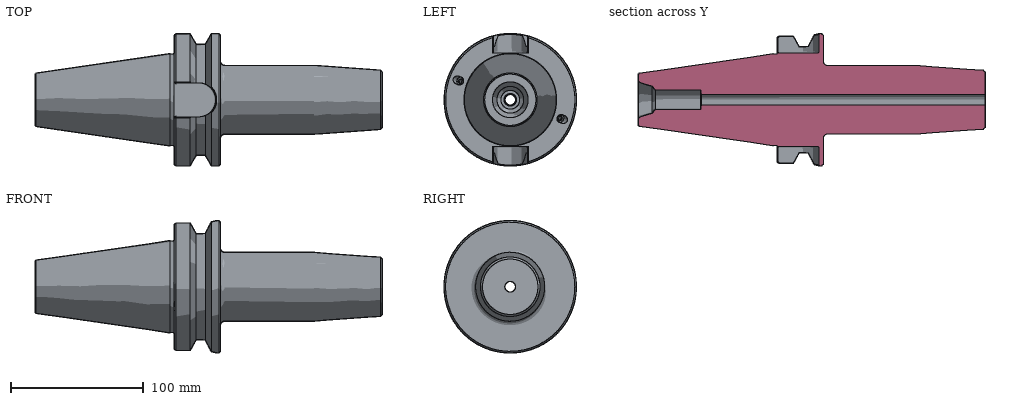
import cadquery as cq
import math

total_length = 261.8
gauge_x = 101.8
flange_start_x = 104.7
flange_end_x = 139.8
nose_start_x = 210.5
groove_middle_x = 125.0

gauge_diameter = 70.0
taper_ratio = 7 / 24
neck_diameter = 69.5
flange_diameter = 100.0
groove_root_diameter = 84.0
shank_diameter = 52.0
nose_half_angle = 4.0
taper_end_chamfer = 0.8
neck_fillet = 0.5
flange_chamfer = 1.3
shank_fillet = 3.1
nose_chamfer = 1.5
groove_root_width = 6.8
groove_wall_angle = 30.0

mouth_diameter = 27.0
mouth_depth = 2.4
entry_diameter = 25.1
shoulder_x = 10.5
shoulder_diameter = 20.2
shoulder_width = 0.5
seat_end_x = 13.0
pilot_diameter = 14.1
pilot_end_x = 47.0
coolant_diameter = 7.9
coolant_chamfer = 0.8

slot_width = 25.7
slot_floor_z = 35.3
slot_end_x = 136.1
slot_edge_chamfer = 0.8
slot_floor_fillet = 0.8
tolerance = 0.03

screw_count = 2
screw_pitch_radius = 42.0
screw_first_angle = 20.4
screw_tilt = 37.0
screw_diameter = 6.3
screw_length = 6.3
screw_recess = 2.5
socket_sides = 6
socket_width = 3.1
socket_depth = 1.5


def turned_outline():
    """Solid of revolution of the whole holder, without bore or slots."""
    taper_end_radius = (gauge_diameter - gauge_x * taper_ratio) / 2
    neck_radius = neck_diameter / 2
    flange_radius = flange_diameter / 2
    root_radius = groove_root_diameter / 2
    shank_radius = shank_diameter / 2
    nose_radius = shank_radius - (total_length - nose_start_x) * math.tan(math.radians(nose_half_angle))
    root_half = groove_root_width / 2
    rim_half = root_half + (flange_radius - root_radius) * math.tan(math.radians(groove_wall_angle))
    outline = (
        cq.Workplane("XY")
        .moveTo(0, 0)
        .lineTo(0, taper_end_radius - taper_end_chamfer)
        .lineTo(taper_end_chamfer, taper_end_radius + taper_end_chamfer * taper_ratio / 2)
        .lineTo(gauge_x, gauge_diameter / 2)
        .lineTo(gauge_x, neck_radius)
        .lineTo(flange_start_x - neck_fillet, neck_radius)
        .radiusArc((flange_start_x, neck_radius + neck_fillet), -neck_fillet)
        .lineTo(flange_start_x, flange_radius - flange_chamfer)
        .lineTo(flange_start_x + flange_chamfer, flange_radius)
        .lineTo(groove_middle_x - rim_half, flange_radius)
        .lineTo(groove_middle_x - root_half, root_radius)
        .lineTo(groove_middle_x + root_half, root_radius)
        .lineTo(groove_middle_x + rim_half, flange_radius)
        .lineTo(flange_end_x - flange_chamfer, flange_radius)
        .lineTo(flange_end_x, flange_radius - flange_chamfer)
        .lineTo(flange_end_x, shank_radius + shank_fillet)
        .radiusArc((flange_end_x + shank_fillet, shank_radius), -shank_fillet)
        .lineTo(nose_start_x, shank_radius)
        .lineTo(total_length - nose_chamfer, nose_radius)
        .lineTo(total_length, nose_radius - nose_chamfer)
        .lineTo(total_length, 0)
        .close()
    )
    return outline.revolve(360, (0, 0, 0), (1, 0, 0))


def stepped_bore():
    """Cutter for the conical entry, pilot bore and through coolant bore."""
    shoulder_radius = shoulder_diameter / 2
    pilot_radius = pilot_diameter / 2
    coolant_radius = coolant_diameter / 2
    outline = (
        cq.Workplane("XY")
        .moveTo(0, 0)
        .lineTo(0, mouth_diameter / 2)
        .lineTo(mouth_depth, entry_diameter / 2)
        .lineTo(shoulder_x, shoulder_radius)
        .lineTo(shoulder_x + shoulder_width, shoulder_radius - shoulder_width)
        .lineTo(seat_end_x, pilot_radius)
        .lineTo(pilot_end_x, pilot_radius)
        .lineTo(pilot_end_x, coolant_radius + coolant_chamfer)
        .lineTo(pilot_end_x + coolant_chamfer, coolant_radius)
        .lineTo(total_length, coolant_radius)
        .lineTo(total_length, 0)
        .close()
    )
    return outline.revolve(360, (0, 0, 0), (1, 0, 0))


def drive_slot(side):
    """Cutter for one round-ended slot, side = +1 for +Z and -1 for -Z."""
    half_width = slot_width / 2
    arc_x = slot_end_x - half_width
    depth = flange_diameter / 2
    return (
        cq.Workplane("XY", origin=(0, 0, side * slot_floor_z))
        .moveTo(gauge_x, -half_width)
        .lineTo(arc_x, -half_width)
        .threePointArc((slot_end_x, 0), (arc_x, half_width))
        .lineTo(gauge_x, half_width)
        .close()
        .extrude(side * depth)
    )


def is_slot_rim(edge):
    """True for slot edges on the flange face, its rim chamfer or its outside."""
    middle = edge.positionAt(0.5)
    radius = math.hypot(middle.y, middle.z)
    widest_y = max(abs(edge.startPoint().y), abs(middle.y))
    along_slot = widest_y < slot_width / 2 + tolerance
    above_floor = abs(middle.z) > slot_floor_z + tolerance
    on_face = abs(middle.x - flange_start_x) < tolerance
    on_rim = flange_start_x < middle.x < flange_start_x + flange_chamfer
    on_outside = abs(radius - flange_diameter / 2) < tolerance
    return along_slot and above_floor and (on_face or on_rim or on_outside)


def chamfer_slot_rims(body):
    """Break the outer edges of both slots."""
    rim_edges = [edge for edge in body.edges().vals() if is_slot_rim(edge)]
    return body.newObject(rim_edges).chamfer(slot_edge_chamfer)


def is_slot_floor_edge(edge):
    """True for edges between a slot floor and its walls."""
    middle = edge.positionAt(0.5)
    samples = (edge.startPoint(), middle, edge.endPoint())
    on_floor = all(abs(abs(point.z) - slot_floor_z) < tolerance for point in samples)
    return on_floor and middle.x > flange_start_x + slot_edge_chamfer


def fillet_slot_floors(body):
    """Round the corner between each slot floor and the walls around it."""
    floor_edges = [edge for edge in body.edges().vals() if is_slot_floor_edge(edge)]
    return body.newObject(floor_edges).fillet(slot_floor_fillet)


def screw_plane(index):
    """Plane on the flange face whose normal points down the screw axis."""
    around = math.radians(screw_first_angle + index * 360 / screw_count)
    tilt = math.radians(screw_tilt)
    outward = cq.Vector(0, math.cos(around), math.sin(around))
    tangent = cq.Vector(0, -math.sin(around), math.cos(around))
    mouth = outward * screw_pitch_radius + cq.Vector(flange_start_x, 0, 0)
    axis = cq.Vector(math.cos(tilt), 0, 0) - outward * math.sin(tilt)
    return cq.Plane(origin=mouth, xDir=tangent, normal=axis)


def screw_hole(plane):
    """Cutter from in front of the flange face to the inner end of the screw."""
    bottom = screw_recess + screw_length
    return (
        cq.Workplane(plane)
        .workplane(offset=-screw_diameter)
        .circle(screw_diameter / 2)
        .extrude(screw_diameter + bottom)
    )


def coolant_screw(plane):
    """Headless screw with a hexagon socket in its outer end."""
    head = cq.Workplane(plane).workplane(offset=screw_recess)
    shank = head.circle(screw_diameter / 2).extrude(screw_length)
    socket_corners = socket_width / math.cos(math.pi / socket_sides)
    socket = head.polygon(socket_sides, socket_corners).extrude(socket_depth)
    return shank.cut(socket)


screw_planes = [screw_plane(i) for i in range(screw_count)]

holder = turned_outline().cut(stepped_bore())
for side in (1, -1):
    holder = holder.cut(drive_slot(side))
holder = chamfer_slot_rims(holder)
holder = fillet_slot_floors(holder)
for plane in screw_planes:
    holder = holder.cut(screw_hole(plane))

coolant_screws = [coolant_screw(plane) for plane in screw_planes]

result = cq.Compound.makeCompound([holder.val(), *[screw.val() for screw in coolant_screws]])